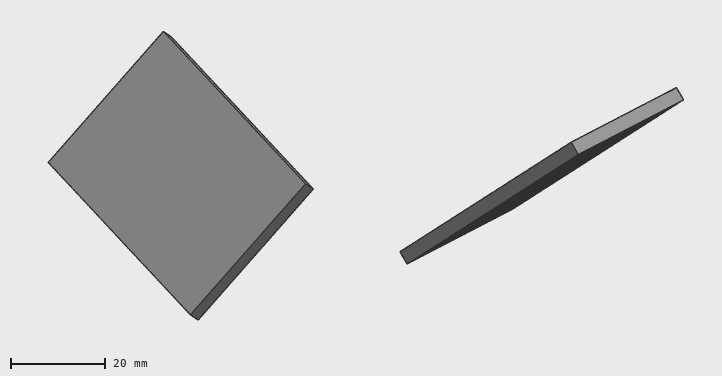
import cadquery as cq

width = 58.0
length = 37.0
thickness = 3.0
tilt_angle = 40.0

flat_plate = cq.Workplane("XY").box(width, length, thickness)

result = flat_plate.rotate((0, 0, 0), (1, 0, 0), tilt_angle)